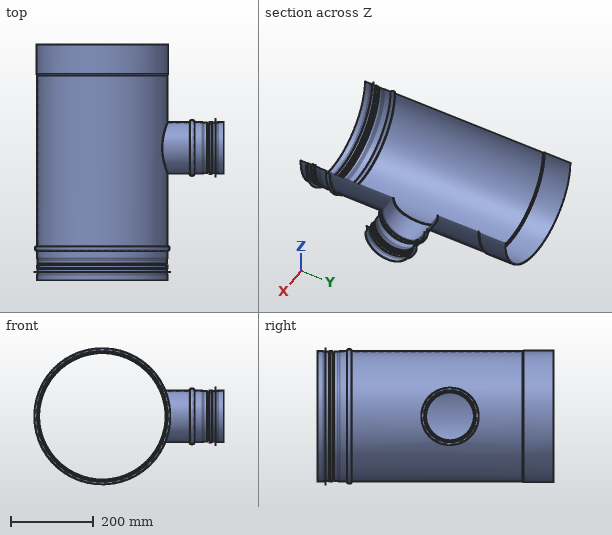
import cadquery as cq
import math


wall = 1.8
main_radius = 315.6 / 2
branch_radius = 125.6 / 2
main_spigot_reach = 320.0
main_socket_reach = 250.0
branch_reach = 293.5

socket_radius = main_radius + wall
socket_length = 71.5
socket_cone_length = 4.0

seat_start = 14.0
seat_floor_start = 17.5
groove_start = 29.5
groove_floor_start = 31.5
groove_floor_end = 39.0
groove_end = 41.0
seat_floor_end = 48.8
seat_end = 53.5
shoulder_bend = 6.0
bead_start = 70.5
bead_end = 83.0
bead_foot_bend = 1.5

seat_depth = 1.0
groove_depth = 3.7
bead_height = 5.3

lip_height = 7.0
lip_station = 19.9
lip_thickness = 1.4
ridge_height = 0.5
ridge_cone_start = 27.0
ridge_start = 30.5
ridge_end = 36.0


def at(radius, station, reach):
    """Half-section point; a negative X puts the revolve seam on the -X side."""
    return (-radius, station - reach)


def revolve_about_y(section):
    return section.close().revolve(360, (0, 0), (0, 1))


def seat_points(radius):
    """Stepped seat and ring groove of one wall face, as (radius, station, bend radius)."""
    floor = radius - seat_depth
    groove = radius - groove_depth
    return [
        (radius, seat_start, shoulder_bend),
        (floor, seat_floor_start, shoulder_bend),
        (floor, groove_start, 0),
        (groove, groove_floor_start, 0),
        (groove, groove_floor_end, 0),
        (floor, groove_end, 0),
        (floor, seat_floor_end, shoulder_bend),
        (radius, seat_end, shoulder_bend),
    ]


def step_from(point, target, length):
    """Point at the given length from one point towards another."""
    share = length / math.dist(point, target)
    return tuple(p + share * (t - p) for p, t in zip(point, target))


def trace(section, start_point, points, reach):
    """Add straight lines through the points, rounding each corner with a bend radius."""
    stops = [start_point] + [(r, station) for r, station, bend in points]
    for index, (r, station, bend) in enumerate(points):
        corner = (r, station)
        if bend == 0:
            section = section.lineTo(*at(*corner, reach))
            continue
        before = stops[index]
        after = stops[index + 2]
        toward_before = step_from(corner, before, 1)
        toward_after = step_from(corner, after, 1)
        half_angle = math.asin(math.dist(toward_before, toward_after) / 2)
        tangent_length = bend / math.tan(half_angle)
        start = step_from(corner, before, tangent_length)
        end = step_from(corner, after, tangent_length)
        chord_middle = tuple((s + e) / 2 for s, e in zip(start, end))
        middle = step_from(corner, chord_middle, bend / math.sin(half_angle) - bend)
        section = section.lineTo(*at(*start, reach))
        section = section.threePointArc(at(*middle, reach), at(*end, reach))
    return section


def foot_points(radius, bend):
    """Start, middle and end of the concave bend at the inboard foot of the bead."""
    center_r = radius + bend
    center_station = bead_end + bead_foot_bend
    diagonal = bend * math.sqrt(0.5)
    start = (center_r, center_station - bend)
    middle = (center_r - diagonal, center_station - diagonal)
    end = (radius, center_station)
    return start, middle, end


def make_duct(radius, reach, far_outer):
    """Thin duct with a spigot; far_outer lists the outer points beyond the bead."""
    inner = radius - wall
    bead_middle = (bead_start + bead_end) / 2
    inner_bead_start = bead_start + wall
    far_inner = [(r - wall, station) for r, station in reversed(far_outer)]
    outer_foot = foot_points(radius, bead_foot_bend)
    inner_foot = foot_points(inner, bead_foot_bend + wall)

    section = cq.Workplane("XY").moveTo(*at(radius, 0, reach))
    spigot_outer = seat_points(radius) + [(radius, bead_start, 0)]
    section = trace(section, (radius, 0), spigot_outer, reach)
    section = section.threePointArc(
        at(radius + bead_height, bead_middle, reach),
        at(*outer_foot[0], reach),
    )
    section = section.threePointArc(at(*outer_foot[1], reach), at(*outer_foot[2], reach))

    for r, station in far_outer + far_inner + [inner_foot[2]]:
        section = section.lineTo(*at(r, station, reach))
    section = section.threePointArc(at(*inner_foot[1], reach), at(*inner_foot[0], reach))
    section = section.threePointArc(
        at(inner + bead_height, bead_middle, reach),
        at(inner, inner_bead_start, reach),
    )
    spigot_inner = seat_points(inner)[::-1] + [(inner, 0, 0)]
    section = trace(section, (inner, inner_bead_start), spigot_inner, reach)
    return revolve_about_y(section)


def make_ring(points, reach):
    section = cq.Workplane("XY").polyline([at(r, station, reach) for r, station in points])
    return revolve_about_y(section)


def make_lip_seal(radius, reach):
    """Thin flat lip standing on the seat floor."""
    floor = radius - seat_depth
    tip = radius + lip_height
    front = lip_station - lip_thickness / 2
    back = lip_station + lip_thickness / 2
    return make_ring([(floor, front), (tip, front), (tip, back), (floor, back)], reach)


def make_ridge_seal(radius, reach):
    """Ring keyed into the groove, with a flat ridge and a lead-in cone."""
    floor = radius - seat_depth
    groove = radius - groove_depth
    crest = radius + ridge_height
    return make_ring(
        [
            (floor, ridge_cone_start),
            (crest, ridge_start),
            (crest, ridge_end),
            (groove, ridge_end),
            (groove, groove_floor_start),
            (floor, groove_start),
        ],
        reach,
    )


def turn_to_branch(body):
    """Swing a body from the -Y direction to the +X direction."""
    return body.rotate((0, 0, 0), (0, 0, 1), 90)


main_length = main_spigot_reach + main_socket_reach
socket_start = main_length - socket_length
main_duct = make_duct(
    main_radius,
    main_spigot_reach,
    [
        (main_radius, socket_start - socket_cone_length),
        (socket_radius, socket_start),
        (socket_radius, main_length),
    ],
)
branch_opening = cq.Workplane("YZ").circle(branch_radius - wall).extrude(branch_reach)
main_duct = main_duct.cut(branch_opening).solids()

branch_far_end = [(branch_radius, branch_reach)]
branch_duct = turn_to_branch(make_duct(branch_radius, branch_reach, branch_far_end))
main_envelope = cq.Workplane("XZ").circle(main_radius).extrude(main_length / 2, both=True)
branch_duct = branch_duct.cut(main_envelope).solids()

seals = []
for make_seal in (make_lip_seal, make_ridge_seal):
    seals.append(make_seal(main_radius, main_spigot_reach))
    seals.append(turn_to_branch(make_seal(branch_radius, branch_reach)))

result = cq.Compound.makeCompound(
    [main_duct.val(), branch_duct.val(), *[seal.val() for seal in seals]]
)